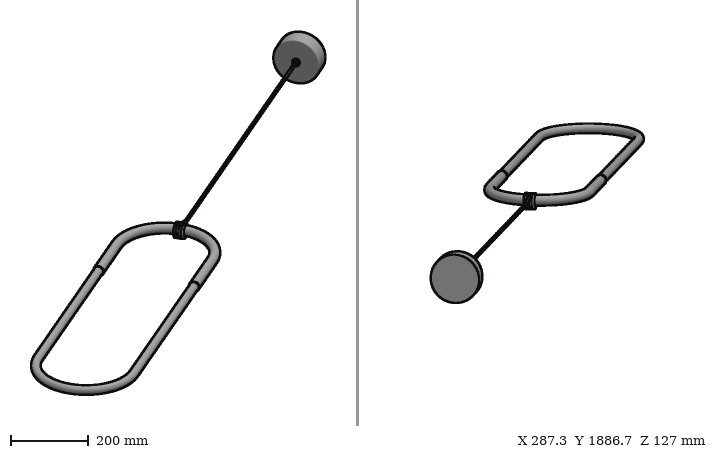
import cadquery as cq

overall_length = 1886.73
overall_width = 287.34

canopy_diameter = 127.0
canopy_depth = 48.0
canopy_edge_radius = 4.0
gland_diameter = 20.0
gland_length = 6.0

tube_diameter = 25.4
sleeve_diameter = 28.575
sleeve_length = 147.0
bend_radius = (overall_width - sleeve_diameter) / 2
bottom_bend_y = -overall_length + bend_radius + tube_diameter / 2
top_bend_y = -1112.0
sleeve_end_y = top_bend_y - sleeve_length

cord_diameter = 7.0
cord_radius = cord_diameter / 2
ring_top_y = top_bend_y + bend_radius
knot_turn_radius = 18.0
knot_turns = 4
knot_drop = 3.0
cord_bend_y = ring_top_y + 45.0


def make_canopy():
    """Round ceiling plate with a rounded front rim and a cord gland."""
    plate = (
        cq.Workplane("XZ")
        .circle(canopy_diameter / 2)
        .extrude(canopy_depth)
        .faces("<Y")
        .edges()
        .fillet(canopy_edge_radius)
    )
    gland = cq.Workplane("XZ").circle(gland_diameter / 2).extrude(canopy_depth + gland_length)
    return plate.union(gland)


def make_half_bend(center_y, diameter, direction):
    """Half-circle tube; direction is +1 for the upper bend and -1 for the lower one."""
    path = (
        cq.Workplane("XY")
        .moveTo(-bend_radius, center_y)
        .threePointArc((0, center_y + direction * bend_radius), (bend_radius, center_y))
    )
    section = cq.Workplane("XZ", origin=(-bend_radius, center_y, 0)).circle(diameter / 2)
    return section.sweep(path)


def make_straight(x, start_y, end_y, diameter):
    """Straight round tube running toward -Y."""
    return (
        cq.Workplane("XZ", origin=(x, start_y, 0))
        .circle(diameter / 2)
        .extrude(start_y - end_y)
    )


def make_ring():
    """Closed ring: thicker tube over the upper bend and its side sleeves, thinner tube below."""
    ring = make_half_bend(top_bend_y, sleeve_diameter, 1)
    ring = ring.union(make_half_bend(bottom_bend_y, tube_diameter, -1))
    for x in (-bend_radius, bend_radius):
        ring = ring.union(make_straight(x, top_bend_y, sleeve_end_y, sleeve_diameter))
        ring = ring.union(make_straight(x, sleeve_end_y, bottom_bend_y, tube_diameter))
    return ring


def make_cord():
    """Cord from the canopy, lifted at its lower end to the top of the knot."""
    path = (
        cq.Workplane("YZ")
        .moveTo(-canopy_depth, 0)
        .lineTo(cord_bend_y, 0)
        .lineTo(ring_top_y, knot_turn_radius - knot_drop)
    )
    section = cq.Workplane("XZ", origin=(0, -canopy_depth, 0)).circle(cord_radius)
    return section.sweep(path, transition="round")


def make_knot():
    """Turns of cord side by side around the tube, formed as one ribbed body of revolution about X."""
    half_width = knot_turns * cord_radius
    profile = (
        cq.Workplane("XY", origin=(0, ring_top_y, -knot_drop))
        .moveTo(-half_width, 0)
        .lineTo(-half_width, knot_turn_radius)
    )
    for turn in range(knot_turns):
        center_x = -half_width + (2 * turn + 1) * cord_radius
        profile = profile.threePointArc(
            (center_x, knot_turn_radius + cord_radius),
            (center_x + cord_radius, knot_turn_radius),
        )
    return profile.lineTo(half_width, 0).close().revolve(360, (0, 0, 0), (1, 0, 0))


result = make_canopy().union(make_ring()).union(make_cord()).union(make_knot())